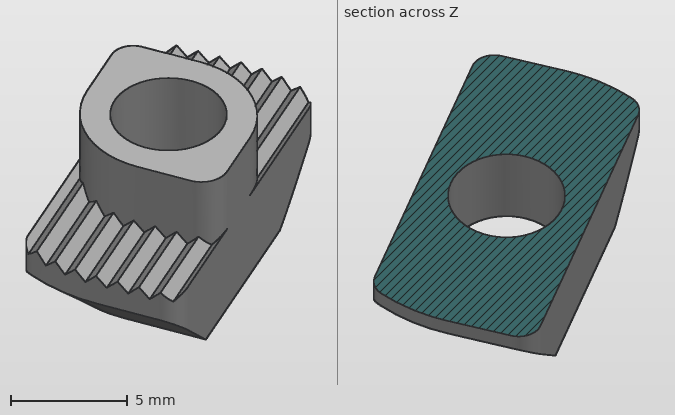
import cadquery as cq
import math

width = 7.7
base_length = 16.0
base_height = 4.5
total_height = 7.5
rim_height = 3.0
bottom_length = 10.0
corner_radius = 1.0
neck_front_radius = 1.2
neck_turn_radius = 4.0
hole_diameter = 5.0
tooth_pitch = 1.0
tooth_depth = tooth_pitch / 2

half_width = width / 2
half_length = base_length / 2
half_bottom = bottom_length / 2


def base_prism():
    """Plan of the base: a rectangle with two opposite corners turned about the hole axis."""
    turn_side_y = math.sqrt(half_length**2 - half_width**2)
    turn_mid_angle = math.asin(half_width / half_length) / 2
    turn_mid_x = half_length * math.sin(turn_mid_angle)
    turn_mid_y = half_length * math.cos(turn_mid_angle)
    prism = (
        cq.Workplane("XY")
        .moveTo(0, half_length)
        .lineTo(-half_width, half_length)
        .lineTo(-half_width, -turn_side_y)
        .threePointArc((-turn_mid_x, -turn_mid_y), (0, -half_length))
        .lineTo(half_width, -half_length)
        .lineTo(half_width, turn_side_y)
        .threePointArc((turn_mid_x, turn_mid_y), (0, half_length))
        .close()
        .extrude(base_height)
    )
    return prism.edges("|Z and (<X or >X)").fillet(corner_radius)


def end_profile():
    """Half section in the YZ plane, from the hole axis out to one end."""
    return cq.Workplane("YZ").polyline([
        (0, 0),
        (half_bottom, 0),
        (half_length, rim_height),
        (half_length, base_height),
        (0, base_height),
    ]).close()


def underside_envelope():
    """Each end slopes as a flat ramp on one half and as a cone on the turned half."""
    flat_half = end_profile().extrude(-half_width)
    cone_quarter = end_profile().revolve(90, (0, 0, 0), (0, -1, 0))
    end = flat_half.union(cone_quarter)
    opposite_end = end.rotate((0, 0, 0), (0, 0, 1), 180)
    return end.union(opposite_end)


def tooth_grooves():
    """V grooves along Y, placed half a pitch either side of the centre line."""
    groove_count = math.ceil(width / tooth_pitch)
    first_x = -(groove_count - 1) * tooth_pitch / 2
    centres = [(first_x + i * tooth_pitch, base_height) for i in range(groove_count)]
    diamond_diameter = 2 * tooth_depth
    return (
        cq.Workplane("XZ")
        .pushPoints(centres)
        .polygon(4, diamond_diameter)
        .extrude(half_length, both=True)
    )


def neck():
    """Square neck: large rounds on one diagonal, small ones on the other."""
    foot_height = base_height - tooth_depth
    block = (
        cq.Workplane("XY", origin=(0, 0, foot_height))
        .rect(width, width)
        .extrude(total_height - foot_height)
    )
    for corner, radius in (
        ("<(1,1,0)", neck_turn_radius),
        (">(1,1,0)", neck_turn_radius),
        ("<(1,-1,0)", corner_radius),
        (">(1,-1,0)", neck_front_radius),
    ):
        block = block.edges("|Z").edges(corner).fillet(radius)
    return block


base = base_prism().intersect(underside_envelope()).cut(tooth_grooves())
hole = cq.Workplane("XY").circle(hole_diameter / 2).extrude(total_height)

result = base.union(neck()).cut(hole)